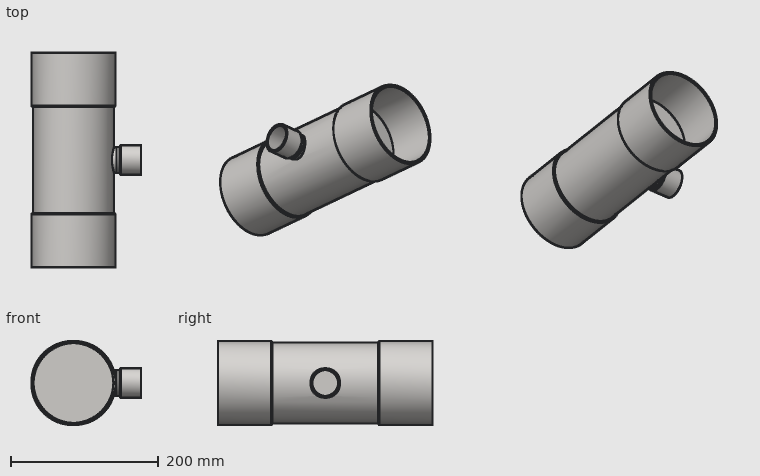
import cadquery as cq

total_length = 290.0
total_width = 148.5
socket_diameter = 114.0
socket_bore = 108.0
pipe_diameter = 110.0
socket_length = 71.5
socket_taper = 1.7
socket_depth = 68.2

branch_end = total_width - socket_diameter / 2
saddle_diameter = 35.0
saddle_end = 58.0
neck_diameter = 35.5
branch_socket_diameter = 40.0
branch_socket_bore = 35.0
branch_socket_length = 27.3
branch_taper = 2.0
branch_socket_depth = branch_socket_length


def main_pipe():
    """Solid pipe with a wider socket at each end, revolved about Y."""
    end = total_length / 2
    shoulder = end - socket_length
    taper_foot = shoulder - socket_taper
    socket_radius = socket_diameter / 2
    pipe_radius = pipe_diameter / 2
    profile = [
        (0, -end),
        (socket_radius, -end),
        (socket_radius, -shoulder),
        (pipe_radius, -taper_foot),
        (pipe_radius, taper_foot),
        (socket_radius, shoulder),
        (socket_radius, end),
        (0, end),
    ]
    return cq.Workplane("XY").polyline(profile).close().revolve(360, (0, 0), (0, 1))


def branch():
    """Stepped branch revolved about X, starting on the pipe axis."""
    shoulder = branch_end - branch_socket_length
    taper_foot = shoulder - branch_taper
    saddle_radius = saddle_diameter / 2
    neck_radius = neck_diameter / 2
    socket_radius = branch_socket_diameter / 2
    profile = [
        (0, 0),
        (0, saddle_radius),
        (saddle_end, saddle_radius),
        (saddle_end, neck_radius),
        (taper_foot, neck_radius),
        (shoulder, socket_radius),
        (branch_end, socket_radius),
        (branch_end, 0),
    ]
    return cq.Workplane("XY").polyline(profile).close().revolve(360, (0, 0), (1, 0))


def end_bore(side):
    """Blind bore cutter for the socket at the -Y (side=-1) or +Y (side=1) end."""
    return (
        cq.Workplane("XZ", origin=(0, side * total_length / 2, 0))
        .circle(socket_bore / 2)
        .extrude(side * socket_depth)
    )


def branch_bore():
    """Blind bore cutter for the branch socket."""
    return (
        cq.Workplane("YZ", origin=(branch_end, 0, 0))
        .circle(branch_socket_bore / 2)
        .extrude(-branch_socket_depth)
    )


result = main_pipe().union(branch())
for side in (-1, 1):
    result = result.cut(end_bore(side))
result = result.cut(branch_bore())